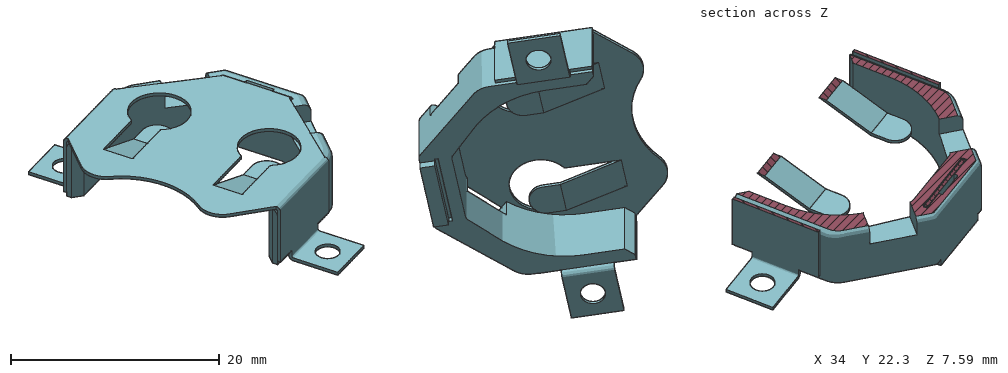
import cadquery as cq
import math

SIDES = (-1, 1)
DIAGONAL = math.radians(45)

sheet = 0.35
bend_inner = 0.18
bend_outer = bend_inner + sheet
housing_height = 6.45
plate_top = housing_height + sheet
half_width = 11.6
wall_half_length = 4.73
tab_outer_y = 12.1
tab_half_width = 3.75
side_wall_bottom = 0.41
plate_edge_x = half_width + sheet - bend_outer
plate_rear_y = tab_outer_y - bend_outer
plate_slant = math.atan2(plate_rear_y - wall_half_length, plate_edge_x - tab_half_width)

rear_y = 13.55
front_y = -wall_half_length
rear_half_width = 4.39
rear_corner_radius = 0.65
side_corner_radius = 2.4
top_edge_radius = 0.85

pocket_half_width = 10.18
pocket_arc_y = 0.18
slant_start_x = 7.13
pocket_rear_half_width = 3.79
pocket_corner_radius = 0.85
lead_in = 0.85

notch_floor = 4.43
notch_width = 4.7
notch_reach = 8.0
notch_middle = 3.03

slot_half_width = 3.84
ramp_half_width = 1.5
ramp_run = 0.42
ramp_depth = 1.5

pad_half_width = 3.65
pad_drop = 0.79

nose_radius = 2.5
nose_front_y = -8.72
bay_y = -6.56
finger_x = 6.03
finger_width = 3.19
finger_root_y = -4.6
finger_flat_y = 1.33
finger_tip_y = 4.65
finger_bottom = 4.0
relief_y = 3.52
relief_diameter = 6.1
foot_half_width = 2.57
foot_end_x = 17.005
foot_hole_x = 14.45
foot_hole_diameter = 2.4
foot_bottom = -2 * sheet


def housing_block():
    shoulder_y = rear_y - (half_width - rear_half_width) * math.tan(DIAGONAL)
    block = (
        cq.Workplane("XY")
        .polyline([
            (-half_width, front_y),
            (half_width, front_y),
            (half_width, shoulder_y),
            (rear_half_width, rear_y),
            (-rear_half_width, rear_y),
            (-half_width, shoulder_y),
        ])
        .close()
        .extrude(housing_height)
    )
    for side in SIDES:
        corner = cq.selectors.NearestToPointSelector((side * half_width, shoulder_y, housing_height / 2))
        block = block.edges(corner).fillet(side_corner_radius)
    for side in SIDES:
        corner = cq.selectors.NearestToPointSelector((side * rear_half_width, rear_y, housing_height / 2))
        block = block.edges(corner).fillet(rear_corner_radius)
    return block.faces(">Z").edges("not <Y").fillet(top_edge_radius)


def cell_pocket():
    end_angle = math.acos(slant_start_x / pocket_half_width)
    slant_start_y = pocket_arc_y + pocket_half_width * math.sin(end_angle)
    arc_x = pocket_half_width * math.cos(end_angle / 2)
    arc_y = pocket_arc_y + pocket_half_width * math.sin(end_angle / 2)
    pocket_rear_y = slant_start_y + (slant_start_x - pocket_rear_half_width) * math.tan(plate_slant)
    mouth_half_width = pocket_half_width + lead_in
    pocket = (
        cq.Workplane("XY")
        .moveTo(-mouth_half_width, front_y)
        .lineTo(-pocket_half_width, front_y + lead_in)
        .lineTo(-pocket_half_width, pocket_arc_y)
        .threePointArc((-arc_x, arc_y), (-slant_start_x, slant_start_y))
        .lineTo(-pocket_rear_half_width, pocket_rear_y)
        .lineTo(pocket_rear_half_width, pocket_rear_y)
        .lineTo(slant_start_x, slant_start_y)
        .threePointArc((arc_x, arc_y), (pocket_half_width, pocket_arc_y))
        .lineTo(pocket_half_width, front_y + lead_in)
        .lineTo(mouth_half_width, front_y)
        .close()
        .extrude(housing_height)
    )
    for side in SIDES:
        corner = cq.selectors.NearestToPointSelector(
            (side * pocket_rear_half_width, pocket_rear_y, housing_height / 2)
        )
        pocket = pocket.edges(corner).fillet(pocket_corner_radius)
    return pocket


def wall_notch(side):
    outer_sum = rear_y + rear_half_width
    middle_x = (outer_sum - notch_middle) / 2
    middle_y = (outer_sum + notch_middle) / 2
    return (
        cq.Workplane("XY")
        .box(notch_reach, notch_width, housing_height, centered=(True, True, False))
        .rotate((0, 0, 0), (0, 0, 1), side * math.degrees(DIAGONAL))
        .translate((side * middle_x, middle_y, notch_floor))
    )


def tab_slot():
    slot = (
        cq.Workplane("XY")
        .center(0, tab_outer_y - sheet / 2)
        .rect(2 * slot_half_width, sheet)
        .extrude(housing_height)
    )
    ramp = (
        cq.Workplane("YZ")
        .polyline([
            (tab_outer_y, housing_height),
            (tab_outer_y + ramp_run, housing_height),
            (tab_outer_y, housing_height - ramp_depth),
        ])
        .close()
        .extrude(ramp_half_width, both=True)
    )
    slot_front_y = tab_outer_y - sheet
    bend_clearance = (
        cq.Workplane("YZ")
        .polyline([
            (slot_front_y - bend_inner, housing_height),
            (slot_front_y, housing_height),
            (slot_front_y, housing_height - bend_inner),
        ])
        .close()
        .extrude(tab_half_width, both=True)
    )
    return slot.union(ramp).union(bend_clearance)


def locating_pad():
    depth = rear_y - tab_outer_y
    return (
        cq.Workplane("XY")
        .center(0, tab_outer_y + depth / 2)
        .rect(2 * pad_half_width, depth)
        .extrude(-pad_drop)
    )


def build_housing():
    housing = housing_block().cut(cell_pocket()).cut(tab_slot())
    for side in SIDES:
        housing = housing.cut(wall_notch(side))
    return housing.union(locating_pad())


def folded_edge(plane, outer_face, bottom, half_length):
    """A flange bent down from the plate edge, in section on the given plane."""
    bend_start = outer_face - bend_outer
    bend_z = plate_top - bend_outer
    return (
        cq.Workplane(plane)
        .moveTo(bend_start, plate_top)
        .radiusArc((outer_face, bend_z), bend_outer)
        .lineTo(outer_face, bottom)
        .lineTo(outer_face - sheet, bottom)
        .lineTo(outer_face - sheet, bend_z)
        .radiusArc((bend_start, plate_top - sheet), -bend_inner)
        .close()
        .extrude(half_length, both=True)
    )


def plate():
    nose_y = nose_front_y + nose_radius
    nose_x = plate_edge_x + wall_half_length + nose_y - nose_radius / math.sin(DIAGONAL)
    nose_tangent_x = nose_x + nose_radius * math.sin(DIAGONAL)
    nose_tangent_y = nose_y - nose_radius * math.cos(DIAGONAL)
    nose_to_bay = nose_y - bay_y
    bay_radius = (nose_x**2 + nose_to_bay**2 - nose_radius**2) / (2 * (nose_radius - nose_to_bay))
    blend = nose_radius / (nose_radius + bay_radius)
    blend_x = nose_x * (1 - blend)
    blend_y = nose_y + (bay_y - bay_radius - nose_y) * blend
    return (
        cq.Workplane("XY", origin=(0, 0, housing_height))
        .moveTo(-tab_half_width, plate_rear_y)
        .lineTo(tab_half_width, plate_rear_y)
        .lineTo(plate_edge_x, wall_half_length)
        .lineTo(plate_edge_x, -wall_half_length)
        .lineTo(nose_tangent_x, nose_tangent_y)
        .threePointArc((nose_x, nose_front_y), (blend_x, blend_y))
        .threePointArc((0, bay_y), (-blend_x, blend_y))
        .threePointArc((-nose_x, nose_front_y), (-nose_tangent_x, nose_tangent_y))
        .lineTo(-plate_edge_x, -wall_half_length)
        .lineTo(-plate_edge_x, wall_half_length)
        .close()
        .extrude(sheet)
    )


def finger_opening(x):
    slot_length = relief_y - finger_root_y
    relief = cq.Workplane("XY").center(x, relief_y).circle(relief_diameter / 2).extrude(plate_top)
    slot = (
        cq.Workplane("XY")
        .center(x, finger_root_y + slot_length / 2)
        .rect(finger_width, slot_length)
        .extrude(plate_top)
    )
    return relief.union(slot)


def contact_finger(x):
    strip = (
        cq.Workplane("YZ", origin=(x, 0, 0))
        .polyline([
            (finger_root_y, plate_top),
            (finger_flat_y, finger_bottom + sheet),
            (finger_tip_y, finger_bottom + sheet),
            (finger_tip_y, finger_bottom),
            (finger_flat_y, finger_bottom),
            (finger_root_y, plate_top - sheet),
        ])
        .close()
        .extrude(finger_width / 2, both=True)
    )
    tip_radius = finger_width / 2
    tip_centre_y = finger_tip_y - tip_radius
    round_ended_outline = (
        cq.Workplane("XY")
        .moveTo(x - tip_radius, finger_root_y)
        .lineTo(x - tip_radius, tip_centre_y)
        .threePointArc((x, finger_tip_y), (x + tip_radius, tip_centre_y))
        .lineTo(x + tip_radius, finger_root_y)
        .close()
        .extrude(plate_top)
    )
    return strip.intersect(round_ended_outline)


def solder_foot():
    """The right-hand foot, bent outwards from the bottom of the side wall."""
    wall_outer = half_width + sheet
    bend_end = wall_outer + bend_inner
    bend_z = foot_bottom + bend_outer
    return (
        cq.Workplane("XZ")
        .moveTo(wall_outer, side_wall_bottom)
        .lineTo(wall_outer, bend_z)
        .radiusArc((bend_end, foot_bottom + sheet), -bend_inner)
        .lineTo(foot_end_x, foot_bottom + sheet)
        .lineTo(foot_end_x, foot_bottom)
        .lineTo(bend_end, foot_bottom)
        .radiusArc((half_width, bend_z), bend_outer)
        .lineTo(half_width, side_wall_bottom)
        .close()
        .extrude(foot_half_width, both=True)
        .cut(
            cq.Workplane("XY", origin=(foot_hole_x, 0, foot_bottom))
            .circle(foot_hole_diameter / 2)
            .extrude(sheet)
        )
    )


def build_clip():
    clip = plate()
    for side in SIDES:
        clip = clip.cut(finger_opening(side * finger_x))
    side_wall = folded_edge("XZ", half_width + sheet, side_wall_bottom, wall_half_length)
    side_with_foot = side_wall.union(solder_foot())
    clip = clip.union(side_with_foot).union(side_with_foot.mirror("YZ"))
    clip = clip.union(folded_edge("YZ", tab_outer_y, side_wall_bottom, tab_half_width))
    for side in SIDES:
        clip = clip.union(contact_finger(side * finger_x))
    return clip


housing = build_housing()
clip = build_clip()
result = cq.Compound.makeCompound([housing.solids().val(), clip.solids().val()])